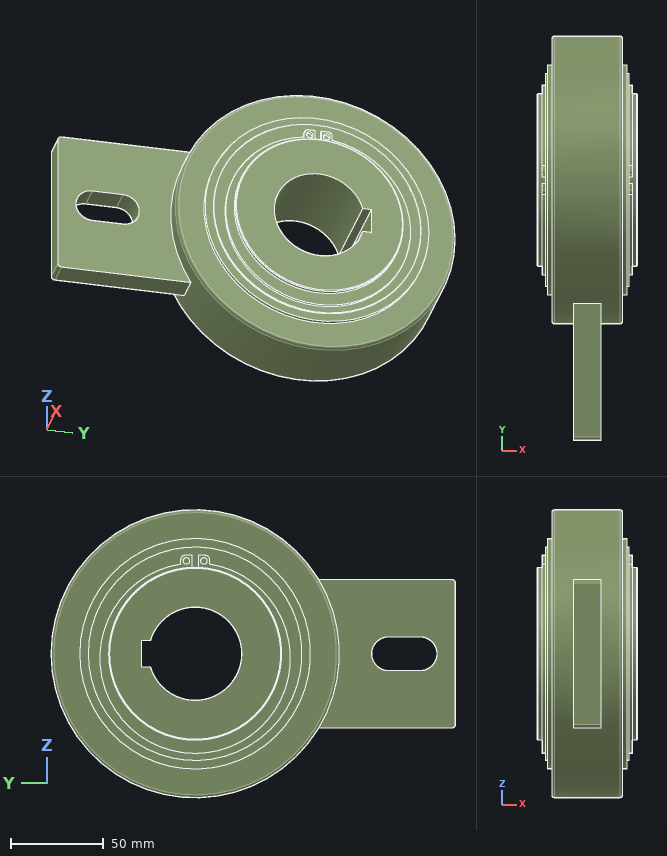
import cadquery as cq

DISC_RADIUS = 77.5
DISC_WIDTH = 38.0
DISC_EDGE_RADIUS = 1.5
SHOULDER_RADIUS = 62.0
SHOULDER_WIDTH = 43.0
COVER_RADIUS = 57.4
COVER_WIDTH = 45.0
HUB_RADIUS = 46.5
HUB_WIDTH = 54.0
HUB_CHAMFER = 0.5

BORE_RADIUS = 25.0
KEY_WIDTH = 14.0
KEY_DEPTH = 28.8

RING_RADIUS = 51.2
RING_DROP = 2.4
RING_OUTER_WIDTH = 48.5
RING_THICKNESS = (RING_OUTER_WIDTH - COVER_WIDTH) / 2
RING_GAP = 3.5
LUG_SPAN = 15.5
LUG_TOP = 53.0
LUG_CORNER_RADIUS = 2.5
LUG_HOLE_DIAMETER = 3.5
LUG_HOLE_OFFSET = 4.7
LUG_HOLE_HEIGHT = 49.9

ARM_REACH = 140.0
ARM_HEIGHT = 80.0
ARM_THICKNESS = 15.0
ARM_CORNER_RADIUS = 2.0
SLOT_LENGTH = 35.0
SLOT_WIDTH = 18.0
SLOT_CENTRE = 112.5


def side_plane(width):
    """YZ workplane on the -X face of a piece of the given width centred on X = 0."""
    return cq.Workplane("YZ", origin=(-width / 2, 0, 0))


def centred_cylinder(radius, width):
    """Cylinder on the X axis, centred on X = 0."""
    return side_plane(width).circle(radius).extrude(width)


def make_body():
    disc = centred_cylinder(DISC_RADIUS, DISC_WIDTH).faces("<X or >X").edges().fillet(DISC_EDGE_RADIUS)
    shoulder = centred_cylinder(SHOULDER_RADIUS, SHOULDER_WIDTH)
    cover = centred_cylinder(COVER_RADIUS, COVER_WIDTH)
    hub = centred_cylinder(HUB_RADIUS, HUB_WIDTH).faces("<X or >X").edges().chamfer(HUB_CHAMFER)
    return disc.union(shoulder).union(cover).union(hub)


def make_arm():
    """Flat plate running from the bore axis towards -Y, with a long slot."""
    plate = (
        side_plane(ARM_THICKNESS)
        .center(-ARM_REACH / 2, 0)
        .rect(ARM_REACH, ARM_HEIGHT)
        .extrude(ARM_THICKNESS)
        .edges("|X and <Y")
        .fillet(ARM_CORNER_RADIUS)
    )
    slot = (
        side_plane(ARM_THICKNESS)
        .center(-SLOT_CENTRE, 0)
        .slot2D(SLOT_LENGTH, SLOT_WIDTH)
        .extrude(ARM_THICKNESS)
    )
    return plate.cut(slot)


def make_ring():
    """Open retaining ring with two drilled lugs, on the +X cover."""
    plane = cq.Workplane("YZ", origin=(COVER_WIDTH / 2, 0, 0))
    band = plane.center(0, -RING_DROP).circle(RING_RADIUS).extrude(RING_THICKNESS)
    lugs = (
        plane.center(0, LUG_TOP / 2)
        .rect(LUG_SPAN, LUG_TOP)
        .extrude(RING_THICKNESS)
        .edges("|X and >Z")
        .fillet(LUG_CORNER_RADIUS)
    )
    gap = plane.center(0, LUG_TOP / 2).rect(RING_GAP, LUG_TOP).extrude(RING_THICKNESS)
    holes = (
        plane.pushPoints([(side * LUG_HOLE_OFFSET, LUG_HOLE_HEIGHT) for side in (-1, 1)])
        .circle(LUG_HOLE_DIAMETER / 2)
        .extrude(RING_THICKNESS)
    )
    return band.union(lugs).cut(gap).cut(holes)


def make_bore():
    """Through bore with a keyway on the +Y side."""
    bore = centred_cylinder(BORE_RADIUS, HUB_WIDTH)
    keyway = (
        side_plane(HUB_WIDTH)
        .center(KEY_DEPTH / 2, 0)
        .rect(KEY_DEPTH, KEY_WIDTH)
        .extrude(HUB_WIDTH)
    )
    return bore.union(keyway)


ring = make_ring()
result = (
    make_body()
    .union(make_arm())
    .union(ring)
    .union(ring.mirror("YZ"))
    .cut(make_bore())
)